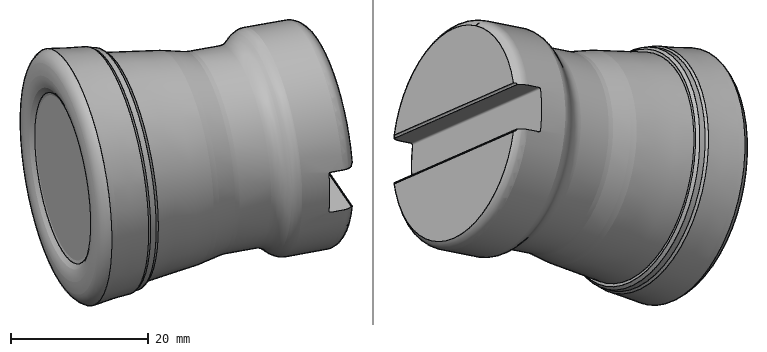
import cadquery as cq

LENGTH = 40.0

COLLAR_R = 17.0
END_FACE_R = 16.0
END_ROUND_Y = 38.2
COLLAR_FRONT_Y = 31.8
SHOULDER_R = 16.32
SHOULDER_OUTER_Y = 30.4
SHOULDER_INNER_R = 15.9
SHOULDER_INNER_Y = 29.93

NECK_R = 15.0
NECK_BACK_Y = 27.73
NECK_FRONT_Y = 22.85
FLARE_R = 15.1
FLARE_Y = 22.13
FLARE_END_R = 15.7
FLARE_END_Y = 19.45
BODY_START_R = 15.9
BODY_START_Y = 18.52
BODY_END_R = 17.12

HEAD_BACK_Y = 9.35
HEAD_BACK_R = 17.55
LIP_R = 17.95
LIP_Y = 8.9
STEP_Y = 8.0
STEP_R = 18.05
BAND_START_R = 18.32
BAND_START_Y = 7.6
BAND_END_R = 18.92
BAND_END_Y = 2.55
HEAD_R = 19.05
HEAD_R_Y = 1.7

CROWN_R = 15.3
CROWN_MID_R = 17.15
CROWN_MID_Y = 0.2
RECESS_RIM_R = 13.45
RECESS_RIM_Y = 0.35
RECESS_WALL_R = 12.7
RECESS_FLOOR_R = 12.25
RECESS_DEPTH = 1.0
RECESS_WALL_Y = 0.9

SLOT_WIDTH = 6.75
SLOT_DEPTH = 4.0
SLOT_CORNER_R = 0.32


def turned_body():
    """Revolve the half outline, drawn as (radius, Y), about the Y axis."""
    rim_arc_r = ((CROWN_R - RECESS_RIM_R) ** 2 + RECESS_RIM_Y**2) / (2 * RECESS_RIM_Y)
    outline = (
        cq.Workplane("XY")
        .moveTo(0, RECESS_DEPTH)
        .lineTo(RECESS_FLOOR_R, RECESS_DEPTH)
        .lineTo(RECESS_WALL_R, RECESS_WALL_Y)
        .lineTo(RECESS_RIM_R, RECESS_RIM_Y)
        .radiusArc((CROWN_R, 0), -rim_arc_r)
        .tangentArcPoint((CROWN_MID_R, CROWN_MID_Y), relative=False)
        .tangentArcPoint((HEAD_R, HEAD_R_Y), relative=False)
        .lineTo(BAND_END_R, BAND_END_Y)
        .lineTo(BAND_START_R, BAND_START_Y)
        .lineTo(STEP_R, STEP_Y)
        .lineTo(LIP_R, LIP_Y)
        .lineTo(HEAD_BACK_R, HEAD_BACK_Y)
        .lineTo(BODY_END_R, HEAD_BACK_Y)
        .lineTo(BODY_START_R, BODY_START_Y)
        .lineTo(FLARE_END_R, FLARE_END_Y)
        .lineTo(FLARE_R, FLARE_Y)
        .lineTo(NECK_R, NECK_FRONT_Y)
        .lineTo(NECK_R, NECK_BACK_Y)
        .tangentArcPoint((SHOULDER_INNER_R, SHOULDER_INNER_Y), relative=False)
        .lineTo(SHOULDER_R, SHOULDER_OUTER_Y)
        .tangentArcPoint((COLLAR_R, COLLAR_FRONT_Y), relative=False)
        .lineTo(COLLAR_R, END_ROUND_Y)
        .tangentArcPoint((END_FACE_R, LENGTH), relative=False)
        .lineTo(0, LENGTH)
        .close()
    )
    return outline.revolve(360, (0, 0, 0), (0, 1, 0))


def end_slot():
    """Slot cutter with rounded floor corners and rounded mouth edges."""
    half = SLOT_WIDTH / 2
    floor_y = LENGTH - SLOT_DEPTH
    r = SLOT_CORNER_R
    return (
        cq.Workplane("YZ")
        .moveTo(LENGTH, -half - r)
        .radiusArc((LENGTH - r, -half), r)
        .lineTo(floor_y + r, -half)
        .radiusArc((floor_y, -half + r), r)
        .lineTo(floor_y, half - r)
        .radiusArc((floor_y + r, half), r)
        .lineTo(LENGTH - r, half)
        .radiusArc((LENGTH, half + r), r)
        .close()
        .extrude(COLLAR_R + 0.4, both=True)
    )


result = turned_body().cut(end_slot())